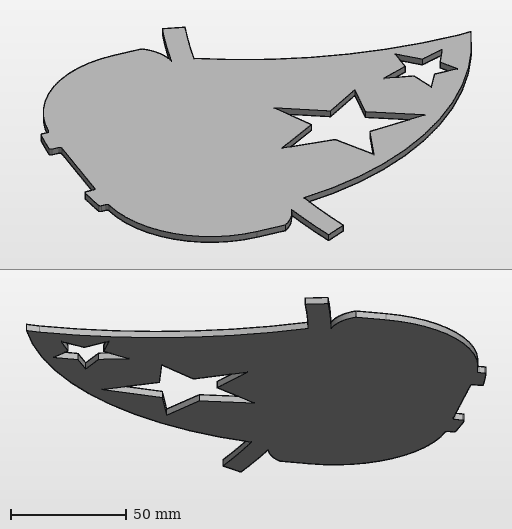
import cadquery as cq
import math

THICKNESS = 3.0

POT_HALF_WIDTH = 78.2
BOWL_RADIUS = 50.6
SHOULDER_HEIGHT = 64.0
SHOULDER_RADIUS = 19.0

FOOT_INNER = 18.8
FOOT_OUTER = 32.0
FOOT_ARC_LOWEST = -6.18
FOOT_ARC_RADIUS = 225.0
FOOT_CORNER_RADIUS = 1.0

RIM_CENTER_X = 3.0
RIM_CENTER_Y = 374.8
RIM_TOP_RADIUS = 300.2
RIM_WIDTH = 10.0
RIM_BOTTOM_RADIUS = RIM_TOP_RADIUS + RIM_WIDTH
ARM_LEFT_TOP_X = -86.9
ARM_LEFT_BOTTOM_X = -89.7
ARM_RIGHT_TOP_X = 88.4
ARM_RIGHT_BOTTOM_X = 93.09
SHOULDER_LEFT_X = -64.0
SHOULDER_RIGHT_X = 67.6

FLAME_LEFT_X = -62.1
FLAME_RIGHT_X = 61.1
FLAME_TIP = (-34.2, 200.68)
FLAME_KINK = (-33.7, 194.8)
FLAME_LEFT_RADIUS = 225.0
FLAME_RIGHT_RADIUS = 145.5

SMALL_STAR = [
    (-25.8, 183.4), (-16.65, 178.4), (-8.7, 183.2), (-8.7, 172.3), (0.3, 166.9),
    (-10.9, 163.6), (-14.3, 150.8), (-19.5, 163.2), (-30.5, 163.2), (-21.9, 172.3),
]
LARGE_STAR = [
    (20.1, 155.3), (22.96, 128.0), (40.8, 122.2), (22.96, 111.6), (20.2, 87.6),
    (7.76, 107.0), (-11.2, 97.6), (0.9, 118.95), (-10.7, 135.5), (7.5, 132.6),
]


def rim_point(x, radius):
    """Point at x on the lower side of a rim arc."""
    drop = math.sqrt(radius**2 - (x - RIM_CENTER_X)**2)
    return (x, RIM_CENTER_Y - drop)


def arc_y(x, radius, lowest):
    """Height at x of an upward-curving arc whose lowest point is at the given height on x = 0."""
    return lowest + radius - math.sqrt(radius**2 - x**2)


def bowl_y(x):
    """Height of the right-hand bowl corner at x."""
    return arc_y(x - POT_HALF_WIDTH + BOWL_RADIUS, BOWL_RADIUS, 0)


def foot_y(x):
    """Height of the arc under the feet at x."""
    return arc_y(x, FOOT_ARC_RADIUS, FOOT_ARC_LOWEST)


def plate():
    """Whole outline, drawn clockwise from the flame tip, with square foot corners."""
    return (
        cq.Workplane("XY")
        .moveTo(*FLAME_TIP)
        .radiusArc(rim_point(FLAME_RIGHT_X, RIM_TOP_RADIUS), FLAME_RIGHT_RADIUS)
        .radiusArc(rim_point(ARM_RIGHT_TOP_X, RIM_TOP_RADIUS), -RIM_TOP_RADIUS)
        .lineTo(*rim_point(ARM_RIGHT_BOTTOM_X, RIM_BOTTOM_RADIUS))
        .radiusArc(rim_point(SHOULDER_RIGHT_X, RIM_BOTTOM_RADIUS), RIM_BOTTOM_RADIUS)
        .radiusArc((POT_HALF_WIDTH, SHOULDER_HEIGHT), SHOULDER_RADIUS)
        .lineTo(POT_HALF_WIDTH, BOWL_RADIUS)
        .radiusArc((FOOT_OUTER, bowl_y(FOOT_OUTER)), BOWL_RADIUS)
        .lineTo(FOOT_OUTER, foot_y(FOOT_OUTER))
        .radiusArc((FOOT_INNER, foot_y(FOOT_INNER)), FOOT_ARC_RADIUS)
        .lineTo(FOOT_INNER, 0)
        .lineTo(-FOOT_INNER, 0)
        .lineTo(-FOOT_INNER, foot_y(FOOT_INNER))
        .radiusArc((-FOOT_OUTER, foot_y(FOOT_OUTER)), FOOT_ARC_RADIUS)
        .lineTo(-FOOT_OUTER, bowl_y(FOOT_OUTER))
        .radiusArc((-POT_HALF_WIDTH, BOWL_RADIUS), BOWL_RADIUS)
        .lineTo(-POT_HALF_WIDTH, SHOULDER_HEIGHT)
        .radiusArc(rim_point(SHOULDER_LEFT_X, RIM_BOTTOM_RADIUS), SHOULDER_RADIUS)
        .radiusArc(rim_point(ARM_LEFT_BOTTOM_X, RIM_BOTTOM_RADIUS), RIM_BOTTOM_RADIUS)
        .lineTo(*rim_point(ARM_LEFT_TOP_X, RIM_TOP_RADIUS))
        .radiusArc(rim_point(FLAME_LEFT_X, RIM_TOP_RADIUS), -RIM_TOP_RADIUS)
        .radiusArc(FLAME_KINK, -FLAME_LEFT_RADIUS)
        .close()
        .extrude(THICKNESS)
    )


def round_feet(body):
    """Round the four upright corner edges of each foot."""
    reach_x = FOOT_OUTER + FOOT_CORNER_RADIUS
    top = bowl_y(FOOT_OUTER) + FOOT_CORNER_RADIUS
    bottom = FOOT_ARC_LOWEST - FOOT_CORNER_RADIUS
    foot_corners = cq.selectors.BoxSelector((-reach_x, bottom, 0), (reach_x, top, THICKNESS))
    return body.edges("|Z").edges(foot_corners).fillet(FOOT_CORNER_RADIUS)


def star(corners):
    """Star-shaped cutter through the full thickness."""
    return cq.Workplane("XY").polyline(corners).close().extrude(THICKNESS)


result = round_feet(plate())
for star_corners in (SMALL_STAR, LARGE_STAR):
    result = result.cut(star(star_corners))